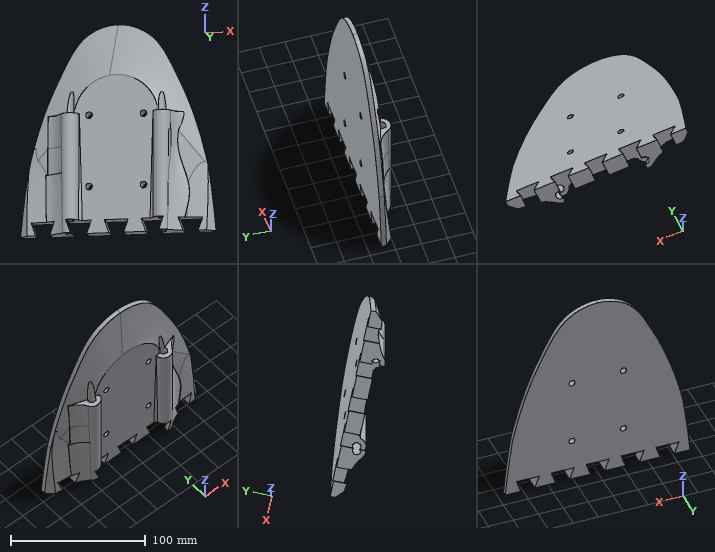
import cadquery as cq
import math

height = 159.0
base_width = 148.31
rim_thickness = 4.0
raised_face_depth = 12.1
total_depth = 19.0

nose_radius = 39.0
nose_half_angle = math.radians(58)
shoulder_x = 68.3
shoulder_height = 49.5
flank_points = [(60.6, 79.0), (50.3, 107.0), (42.3, 123.9)]
skirt_mid = (71.6, 25.0)

face_radius = 32.0
face_top_height = 119.6
face_base_half_width = 30.0
arch_start = math.radians(15)
arch_seam = math.radians(99)
arch_end = math.radians(180)

bolt_hole_diameter = 4.76
bolt_spacing_x = 41.3
bolt_spacing_z = 54.0
bolt_bottom_height = 35.6

bore_diameter = 6.25
tube_radius = 7.0
tube_x = 35.0
tube_y = tube_radius - total_depth
tube_top_height = 90.7
embed_y = -3.0
root_angle_bottom = 345
root_angle_top = 358
root_foot_bottom = (-25.4, -raised_face_depth)
root_foot_top = (-27.9, -raised_face_depth)

flange_bottom = (0, (-53.1, -10.7), (-45.8, -13.3), 226)
left_lower_sections = [
    flange_bottom,
    (46.0, (-54.2, -8.0), (-45.6, -11.7), 220),
]
left_upper_sections = [
    (46.0, (-52.7, -8.4), (-45.6, -11.7), 220),
    (66.0, (-52.7, -7.8), (-45.5, -11.2), 216.5),
    (tube_top_height, (-52.7, -6.0), (-45.3, -10.2), 212),
]
right_flange_sections = [
    flange_bottom,
    (18.0, (-53.5, -9.7), (-45.8, -12.8), 223),
    (35.6, (-54.2, -8.5), (-45.7, -12.2), 221),
    (56.0, (-47.9, -8.7), (-44.0, -11.6), 218),
    (76.5, (-47.4, -8.2), (-43.6, -11.3), 216),
    (tube_top_height, (-50.4, -5.9), (-44.6, -10.3), 214),
]

skirt_outer_x = 76.0
skirt_crease_x = 53.1
skirt_inner_x = 45.0
skirt_top_height = 67.0
skirt_back_y = 7.0
skirt_mid_x = 64.0
skirt_bottom_profile = (-8.9, -10.0, -10.7)
left_skirt_top_profile = (1.0, -4.1, -6.1)
right_skirt_top_profile = (1.6, -3.6, -5.0)
skirt_lean = (5.85, -5.5)

slot_count = 5
slot_pitch = 28.0
slot_depth = 10.0
slot_inner_width = 18.0
slot_mouth_width = 10.9


def outline(depth):
    """Closed outer outline at y = -depth."""
    half = base_width / 2

    def nose(fraction):
        angle = fraction * nose_half_angle
        return (nose_radius * math.sin(angle), height - nose_radius * (1 - math.cos(angle)))

    right_side = flank_points + [nose(1), nose(2 / 3), nose(1 / 3), (0, height)]
    left_side = [(-x, z) for x, z in reversed(right_side[:-1])]
    left_side.append((-shoulder_x, shoulder_height))
    return (
        cq.Workplane("XZ", origin=(0, -depth, 0))
        .moveTo(-half, 0)
        .lineTo(half, 0)
        .threePointArc(skirt_mid, (shoulder_x, shoulder_height))
        .spline(right_side, includeCurrent=True)
        .spline(left_side, includeCurrent=True)
        .threePointArc((-skirt_mid[0], skirt_mid[1]), (-half, 0))
        .close()
    )


def arch_point(angle):
    center_z = face_top_height - face_radius
    return (face_radius * math.cos(angle), center_z + face_radius * math.sin(angle))


def raised_outline():
    """Closed outline of the flat raised face: straight sides under a round arch."""
    return (
        cq.Workplane("XZ", origin=(0, -raised_face_depth, 0))
        .moveTo(-face_base_half_width, 0)
        .lineTo(face_base_half_width, 0)
        .lineTo(*arch_point(arch_start))
        .threePointArc(arch_point((arch_start + arch_seam) / 2), arch_point(arch_seam))
        .threePointArc(arch_point((arch_seam + arch_end) / 2), arch_point(arch_end))
        .close()
    )


def loft(wires, ruled=True):
    return cq.Workplane(cq.Solid.makeLoft(wires, ruled))


def plate():
    """Flat rim with a ruled dome rising from its outline to the raised face."""
    rim = outline(0).extrude(rim_thickness)
    dome = loft([outline(rim_thickness).wires().val(), raised_outline().wires().val()])
    return rim.union(dome)


def skirt(top_profile):
    """Left skirt, trimmed by the outline swept inward as it comes forward."""

    def section(z, profile):
        outer_y, mid_y, crease_y = profile
        return (
            cq.Workplane("XY", origin=(0, 0, z))
            .moveTo(-skirt_outer_x, outer_y)
            .threePointArc((-skirt_mid_x, mid_y), (-skirt_crease_x, crease_y))
            .lineTo(-skirt_inner_x, crease_y)
            .lineTo(-skirt_inner_x, skirt_back_y)
            .lineTo(-skirt_outer_x, skirt_back_y)
            .close()
            .wires()
            .val()
        )

    blank = loft([section(0, skirt_bottom_profile), section(skirt_top_height, top_profile)])
    lean_scale = (total_depth - rim_thickness) / -skirt_lean[1]
    lean = cq.Vector(*skirt_lean, 0) * lean_scale
    envelope = cq.Solid.extrudeLinear(outline(rim_thickness).wires().val(), [], lean)
    return blank.intersect(cq.Workplane(envelope))


def tube_point(degrees):
    angle = math.radians(degrees)
    return (-tube_x + tube_radius * math.cos(angle), tube_y + tube_radius * math.sin(angle))


def flange_wires(sections):
    """Level sections of the hollow blend on the left tube."""

    def wire(z, crease, hollow, tube_angle):
        return (
            cq.Workplane("XY", origin=(0, 0, z))
            .moveTo(*crease)
            .threePointArc(hollow, tube_point(tube_angle))
            .lineTo(-tube_x, tube_y)
            .lineTo(-tube_x, embed_y)
            .lineTo(crease[0], embed_y)
            .close()
            .wires()
            .val()
        )

    return [wire(*section) for section in sections]


def left_flange():
    lower = loft(flange_wires(left_lower_sections))
    middle, step, top = flange_wires(left_upper_sections)
    return lower.union(loft([middle, step])).union(loft([step, top]))


def right_flange():
    """Smooth flange, still on the left; the whole side is mirrored afterwards."""
    return loft(flange_wires(right_flange_sections), ruled=False)


def tube_with_root():
    """Left tube and the root that joins its inner side to the raised face."""

    def root_section(z, tube_angle, foot):
        points = [
            (-tube_x, tube_y),
            tube_point(tube_angle),
            foot,
            (foot[0], embed_y),
            (-tube_x, embed_y),
        ]
        return cq.Workplane("XY", origin=(0, 0, z)).polyline(points).close().wires().val()

    root = loft(
        [
            root_section(0, root_angle_bottom, root_foot_bottom),
            root_section(tube_top_height, root_angle_top, root_foot_top),
        ]
    )
    tube = cq.Workplane("XY").center(-tube_x, tube_y).circle(tube_radius).extrude(tube_top_height)
    return tube.union(root)


def bolt_holes():
    return (
        cq.Workplane("XZ")
        .center(0, bolt_bottom_height + bolt_spacing_z / 2)
        .rarray(bolt_spacing_x, bolt_spacing_z, 2, 2)
        .circle(bolt_hole_diameter / 2)
        .extrude(total_depth)
    )


def bores():
    return (
        cq.Workplane("XY")
        .pushPoints([(-tube_x, tube_y), (tube_x, tube_y)])
        .circle(bore_diameter / 2)
        .extrude(height)
    )


def dovetail_slots():
    first_x = -(slot_count - 1) / 2 * slot_pitch
    centers = [(first_x + index * slot_pitch, 0, 0) for index in range(slot_count)]
    slot_points = [
        (-slot_mouth_width / 2, 0),
        (slot_mouth_width / 2, 0),
        (slot_inner_width / 2, slot_depth),
        (-slot_inner_width / 2, slot_depth),
    ]
    slot = cq.Workplane("XZ").polyline(slot_points).close().extrude(total_depth)
    slots = [slot.val().translate(cq.Vector(*center)) for center in centers]
    return cq.Workplane(cq.Compound.makeCompound(slots))


tube = tube_with_root()
left_half = tube.union(skirt(left_skirt_top_profile)).union(left_flange())
right_half = tube.union(skirt(right_skirt_top_profile)).union(right_flange()).mirror("YZ")
body = plate().union(left_half).union(right_half)
result = body.cut(bores()).cut(bolt_holes()).cut(dovetail_slots())